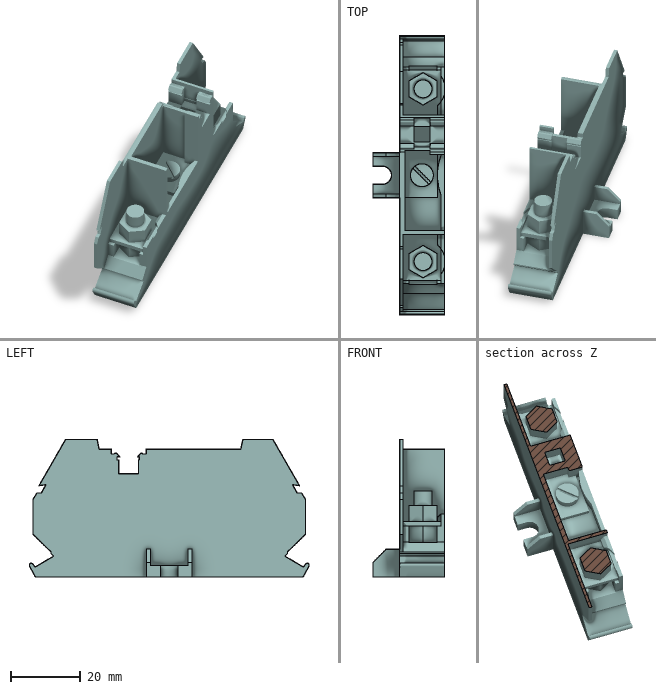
import cadquery as cq
import math

housing_width = 13.0
plate_height = 39.7
overlap = 0.2

plate_thickness = 1.0
center_plate_thickness = 1.55
plate_half_length = 39.3
plate_side_z = (12.3, 22.4)
plate_ledge_outer = (38.2, 24.25)
plate_ledge_inner = (36.9, 24.25)
plate_notch = (35.6, 26.6)
plate_barb = (37.6, 26.3)
plate_top_half_length = 29.9
rear_shoulder_y = (20.75, 20.2)
front_shoulder_y = (-21.2, -20.6)
shoulder_height = 36.9
step_height = 35.5

foot_half_base = 38.6
foot_notch = (33.35, 6.05)
notch_step = (34.15, 6.85)
notch_lip = (34.15, 7.3)
hook_valley = (38.7, 2.9)
hook_inner = (39.3, 3.8)
hook_top = (39.95, 4.1)
hook_bulge = (40.325, 3.55)
hook_outer = (40.2, 2.9)
block_half_length = 31.25
ramp_top = 10.17
block_height = 14.78

rear_wall_inner = 16.65
rear_wall_outer = 17.37
front_wall_inner = -15.95
front_wall_outer = -17.15
side_wall_x = 11.9
side_wall_height = 18.2
bulge_x = 10.88
bulge_radius = 16.0
center_bay_end = 5.95

stud_x = 6.75
stud_y = 24.9
stud_radius = 2.58
stud_top = 24.8
nut_flats = 8.08
nut_bottom = 9.98
nut_top = 20.65
bar_thickness = 1.27
bar_half_end = 30.3
clearance_radius = 6.36
clearance_floor = 17.2
bar_top = block_height + bar_thickness
wedge_x = 10.9
wedge_side_height = 17.2

center_bar_x = (center_plate_thickness, 10.9)
center_bar_y = (-6.4, 7.2)
screw_x = 6.42
screw_radius = 3.3
screw_head_height = 2.0
screw_slot_width = 0.85
screw_slot_depth = 0.8
screw_slot_angle = -45

seat_floor = 29.8
seat_y = (8.9, 14.5)
seat_end = 6.7
center_bay_wall = 7.2
undercut_bottom = 33.8
hook_height = 34.65
hook_crest = 35.6
hook_round = 35.75
rear_undercut = 15.05
rear_hook_tip = 14.2
rear_round_y = (15.1, 15.5, 15.9)
front_undercut = 8.65
front_hook_tip = 9.15
front_round_y = (7.6, 8.0, 8.35)
seat_gap_x = (4.2, 8.82)
seat_gap_y = (8.2, 16.45)
seat_pocket_y = (9.6, 14.0)
gap_ledge_height = 30.9

lug_length = 7.75
lug_half_width = 6.5
lug_floor = 3.4
lug_wall_height = 8.05
lug_wall_thickness = 1.05
lug_front_height = 4.15
lug_slot_radius = 2.58
lug_slot_center_x = -4.95


def box(x_range, y_range, z_range):
    """Box spanning the given (low, high) ranges."""
    return (
        cq.Workplane("XY")
        .box(
            x_range[1] - x_range[0],
            y_range[1] - y_range[0],
            z_range[1] - z_range[0],
            centered=False,
        )
        .translate((x_range[0], y_range[0], z_range[0]))
    )


def extrude_x(sketch, x_end):
    """Extrude a closed YZ outline from X = 0 to the given X."""
    return sketch.extrude(x_end)


def mirrored(points):
    """Points reflected to the other end (Y reversed), in reverse order."""
    return [(-y, z) for y, z in reversed(points)]


def make_plate():
    """Thin side plate; its top carries the profile of the jumper seat."""
    lower_end = [
        foot_notch,
        notch_step,
        notch_lip,
        (plate_half_length, plate_side_z[0]),
        (plate_half_length, plate_side_z[1]),
        plate_ledge_outer,
        plate_ledge_inner,
        plate_notch,
        plate_barb,
        (plate_top_half_length, plate_height),
    ]
    rear_shoulder = [
        (rear_shoulder_y[0], plate_height),
        (rear_shoulder_y[1], shoulder_height),
    ]
    front_shoulder = [
        (front_shoulder_y[1], shoulder_height),
        (front_shoulder_y[0], plate_height),
    ]
    outline = lower_end + rear_shoulder + front_shoulder + mirrored(lower_end)
    plate = extrude_x(cq.Workplane("YZ").polyline(outline).close(), plate_thickness)
    thick_plate = box(
        (0, center_plate_thickness),
        (front_wall_outer, center_bay_wall),
        (block_height - overlap, shoulder_height),
    )
    return plate.union(thick_plate)


def make_base():
    """Full-width base with a hooked foot at each end and ramps up to the block."""
    half_foot = (
        cq.Workplane("YZ")
        .lineTo(foot_half_base, 0)
        .lineTo(*hook_outer)
        .threePointArc(hook_bulge, hook_top)
        .lineTo(*hook_inner)
        .lineTo(*hook_valley)
        .lineTo(*foot_notch)
        .lineTo(*notch_step)
        .lineTo(*notch_lip)
        .lineTo(0, notch_lip[1])
        .close()
    )
    half_foot = extrude_x(half_foot, housing_width)
    foot = half_foot.union(half_foot.mirror("XZ"))

    block_end = [
        (notch_lip[0], notch_lip[1] - overlap),
        notch_lip,
        (block_half_length, ramp_top),
        (block_half_length, block_height),
    ]
    block = cq.Workplane("YZ").polyline(block_end + mirrored(block_end)).close()
    return foot.union(extrude_x(block, housing_width))


def make_cross_walls():
    """Walls across the housing that separate the stud bays from the middle."""
    walls = cq.Workplane("XY")
    for y_range in (
        (rear_wall_inner, rear_wall_outer),
        (front_wall_outer, front_wall_inner),
    ):
        walls = walls.add(
            box((0, housing_width), y_range, (block_height - overlap, shoulder_height))
        )
    return walls.combine()


def make_nut_clearance(side, floor):
    """Round space for turning the nut, from the given floor to the wall top."""
    return (
        cq.Workplane("XY", origin=(stud_x, side * stud_y, floor))
        .circle(clearance_radius)
        .extrude(side_wall_height - floor)
    )


def make_side_wall():
    """Low wall along the open side, bulging inwards beside the center terminal."""
    z_range = (block_height - overlap, side_wall_height)
    rear = box((side_wall_x, housing_width), (rear_wall_inner, block_half_length), z_range)
    front = box((side_wall_x, housing_width), (-block_half_length, front_wall_inner), z_range)

    arc_center_x = bulge_x + bulge_radius

    def bulge_edge(y):
        return arc_center_x - math.sqrt(bulge_radius**2 - y**2)

    arc_end = -math.sqrt(bulge_radius**2 - (arc_center_x - side_wall_x) ** 2)
    center = (
        cq.Workplane("XY")
        .moveTo(housing_width, front_wall_inner - overlap)
        .lineTo(side_wall_x, front_wall_inner - overlap)
        .lineTo(side_wall_x, arc_end)
        .threePointArc((bulge_x, 0), (bulge_edge(center_bay_end), center_bay_end))
        .lineTo(housing_width, center_bay_end)
        .close()
        .extrude(z_range[1] - z_range[0])
        .translate((0, 0, z_range[0]))
    )
    wall = rear.union(front).union(center)
    for side in (1, -1):
        wall = wall.cut(make_nut_clearance(side, clearance_floor))
    return wall


def make_retaining_wedge(side):
    """Sloped lip over the bar, between the cross wall and the nut."""
    wedge = (
        cq.Workplane("XZ")
        .polyline(
            [
                (wedge_x, bar_top - overlap),
                (wedge_x, wedge_side_height),
                (side_wall_x, side_wall_height),
                (side_wall_x + overlap, side_wall_height),
                (side_wall_x + overlap, bar_top - overlap),
            ]
        )
        .close()
        .extrude(-(stud_y - rear_wall_inner))
        .translate((0, rear_wall_inner, 0))
    )
    wedge = wedge if side > 0 else wedge.mirror("XZ")
    return wedge.cut(make_nut_clearance(side, bar_top - overlap))


def make_terminal_bar(side):
    """Flat conductor bar that the stud nut clamps."""
    bar = box(
        (plate_thickness - overlap, side_wall_x + overlap),
        (rear_wall_inner, bar_half_end),
        (block_height - overlap, bar_top),
    )
    return bar if side > 0 else bar.mirror("XZ")


def make_nut_pocket(side):
    """Slot in the block that takes the lower nut, open to the end face."""
    pocket = box(
        (stud_x - nut_flats / 2, stud_x + nut_flats / 2),
        (stud_y, foot_half_base),
        (nut_bottom, block_height),
    )
    return pocket if side > 0 else pocket.mirror("XZ")


def make_stud(side):
    """Threaded stud with hexagon nuts above and below the bar."""
    corner_diameter = nut_flats / math.cos(math.pi / 6)
    nut = cq.Workplane("XY").polygon(6, corner_diameter).extrude(nut_top - nut_bottom)
    nut = nut.rotate((0, 0, 0), (0, 0, 1), 30)
    stud = cq.Workplane("XY").circle(stud_radius).extrude(stud_top - nut_bottom)
    return nut.union(stud).translate((stud_x, side * stud_y, nut_bottom))


def make_center_terminal():
    """Bar and slotted screw head in the center bay."""
    bar = box(center_bar_x, center_bar_y, (block_height - overlap, bar_top))
    head = (
        cq.Workplane("XY", origin=(screw_x, 0, bar_top - overlap))
        .circle(screw_radius)
        .extrude(screw_head_height + overlap)
    )
    slot = (
        cq.Workplane("XY")
        .box(2 * screw_radius, screw_slot_width, screw_slot_depth, centered=(True, True, False))
        .rotate((0, 0, 0), (0, 0, 1), screw_slot_angle)
        .translate((screw_x, 0, bar_top + screw_head_height - screw_slot_depth))
    )
    return bar.union(head.cut(slot))


def make_jumper_seat_cut():
    """Profile removed above the seat block: latching hooks facing each other."""
    profile = (
        cq.Workplane("YZ")
        .moveTo(seat_y[0], seat_floor)
        .lineTo(seat_y[1], seat_floor)
        .lineTo(seat_y[1], undercut_bottom)
        .lineTo(rear_undercut, undercut_bottom)
        .lineTo(rear_undercut, hook_height)
        .lineTo(rear_hook_tip, hook_height)
        .lineTo(rear_round_y[0], hook_crest)
        .threePointArc((rear_round_y[1], hook_round), (rear_round_y[2], step_height))
        .lineTo(rear_wall_inner, step_height)
        .lineTo(rear_wall_inner, plate_height)
        .lineTo(seat_end, plate_height)
        .lineTo(seat_end, step_height)
        .lineTo(front_round_y[0], step_height)
        .threePointArc((front_round_y[1], hook_round), (front_round_y[2], hook_crest))
        .lineTo(front_hook_tip, hook_height)
        .lineTo(front_undercut, hook_height)
        .lineTo(front_undercut, undercut_bottom)
        .lineTo(seat_y[0], undercut_bottom)
        .close()
    )
    return extrude_x(profile, housing_width)


def make_jumper_seat_gap():
    """Middle gap between the hook pairs, with the contact pocket in its floor."""
    gap = box(seat_gap_x, seat_gap_y, (seat_floor, plate_height))
    above_ledge = box(
        seat_gap_x,
        (seat_gap_y[0], rear_wall_inner),
        (gap_ledge_height, plate_height),
    )
    above_land = box(
        seat_gap_x,
        (front_round_y[0], seat_gap_y[1]),
        (step_height, plate_height),
    )
    pocket = box(seat_gap_x, seat_pocket_y, (bar_top, seat_floor))
    return gap.union(above_ledge).union(above_land).union(pocket)


def make_jumper_block():
    """Block carrying the jumper seat, with a thicker wall on the open side."""
    z_range = (block_height - overlap, shoulder_height)
    block = box((0, housing_width), (center_bay_wall, rear_wall_outer), z_range)
    thick_wall = box((seat_gap_x[1], housing_width), (center_bay_end, center_bay_wall), z_range)
    return block.union(thick_wall)


def make_lug():
    """Side lug with an open screw slot between two gusset walls."""
    gusset_outline = [
        (overlap, 0),
        (-lug_length, 0),
        (-lug_length, lug_front_height),
        (lug_front_height - lug_wall_height, lug_wall_height),
        (overlap, lug_wall_height),
    ]
    body = (
        cq.Workplane("XZ")
        .polyline(gusset_outline)
        .close()
        .extrude(lug_half_width, both=True)
    )
    inner_half = lug_half_width - lug_wall_thickness
    recess = box((-lug_length, 0), (-inner_half, inner_half), (lug_floor, lug_wall_height))
    slot_end = (
        cq.Workplane("XY", origin=(lug_slot_center_x, 0, 0))
        .circle(lug_slot_radius)
        .extrude(lug_floor)
    )
    slot = box(
        (-lug_length, lug_slot_center_x),
        (-lug_slot_radius, lug_slot_radius),
        (0, lug_floor),
    )
    return body.cut(recess).cut(slot_end).cut(slot)


housing = make_base().union(make_plate()).union(make_cross_walls())
housing = housing.union(make_side_wall()).union(make_jumper_block())
housing = housing.cut(make_jumper_seat_cut()).cut(make_jumper_seat_gap())

for end in (1, -1):
    housing = housing.union(make_terminal_bar(end)).union(make_retaining_wedge(end))
    housing = housing.cut(make_nut_pocket(end))
    housing = housing.union(make_stud(end))

result = housing.union(make_center_terminal()).union(make_lug())